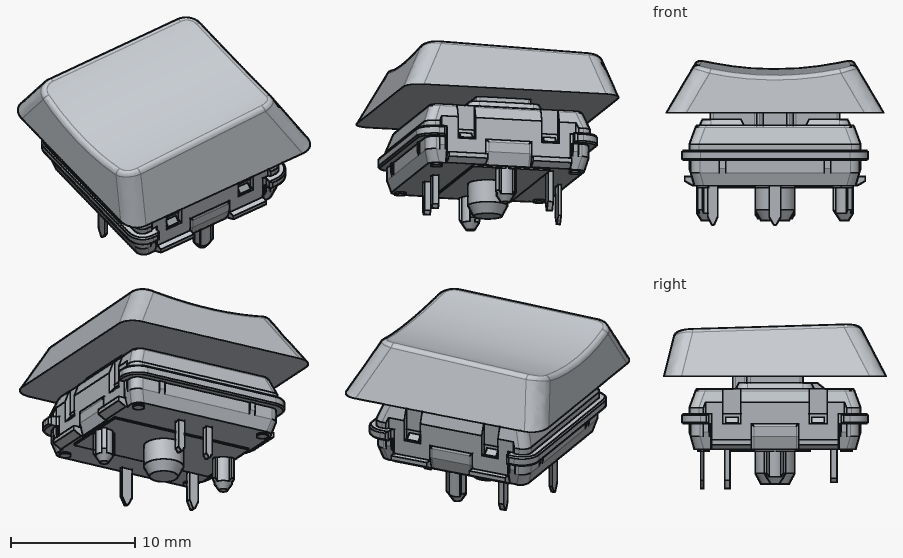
import cadquery as cq
import math


floor_z = 0.14
lip_top_z = 0.9
wall_low_z = 1.2
flange_low_z = 2.2
seam_z = 3.0
shoulder_z = 3.5
deck_edge_z = 4.86
deck_z = 5.0
rim_z = 5.5
cap_low_z = 6.01

floor_half = 6.5
wall_half = 6.8
rib_half = 6.9
wall_slope = (wall_half - floor_half) / (wall_low_z - floor_z)
rib_low_z = floor_z + (rib_half - floor_half) / wall_slope
shoulder_half = rib_half
deck_edge_half = 6.4
deck_half = 6.3
housing_radius = 0.75
flange_half = 7.5
flange_radius = 1.5
flange_chamfer = 0.13

skirt_face_x = 6.74
skirt_back_x = 6.25
skirt_half = 5.1
skirt_upper_half = 5.58
skirt_upper_flare = 0.18
recess_flare = 0.22
beyond = flange_half + 1.0
slot_inner_y = 2.75
slot_outer_y = 4.2
slot_y = (slot_inner_y + slot_outer_y) / 2
slot_width = slot_outer_y - slot_inner_y
catch_width = 1.0
catch_top_z = 2.73
catch_low_z = 2.3
catch_reach = 0.4
block_back_x = 6.0
block_half = 1.9
block_bevel = 0.2
lip_reach_x = 7.28
lip_edge_z = 0.53
lip_root_x = 6.6
front_rib_inner = 3.97
front_rib_outer = 4.48
side_rib_inner = 5.3
side_rib_outer = 5.77

pad_half_x = 6.28
pad_back_y = 2.85
pad_front_y = -3.55
foot_diameter = 0.92
foot_x = 5.8
foot_y = 5.76
boss_diameter = 3.2
boss_shoulder_z = -1.8
boss_end_radius = 1.14
boss_end_z = -2.65
post_diameter = 1.8
post_core_diameter = 1.42
post_rib_width = 0.42
post_rib_count = 3
post_x = 5.58
post_shoulder_z = -1.79
post_end_radius = 0.34

rim_base_x = 6.08
rim_base_y = 3.15
rim_lean = 0.24
rim_corner = 0.9
rim_gap_half = 2.5
rear_ramp_base_y = 4.03
rear_ramp_top_y = 3.4

stem_half_x = 5.22
stem_half_y = 2.26
stem_corner = 0.25
arm_inner_x = 0.93
arm_outer_x = 1.45
arm_front_y = -3.4
arm_corner = 0.2

cap_length_x = 17.53
cap_length_y = 17.9
cap_blank_height = 5.5
side_draft = 0.591
back_draft = 0.52
front_draft = 0.25
cap_corner = 1.55
cap_top_fillet = 0.5
dish_radius = 25.5
dish_centre_z = 9.32
dish_tilt = 1.95

socket_depth = 0.6
tip_fraction = 0.3
pin_end_z = -3.02
pin_shoulder_z = -2.35
side_pin_x = -5.0
side_pin_y = -3.83
side_pin_width = 0.8
side_pin_thickness = 0.44
front_pin_y = -5.87
front_pin_width = 0.94
front_pin_thickness = 0.25
prong_x = 1.3
prong_y = 4.73
prong_width = 0.54
prong_thickness = 0.52
prong_end_z = -2.52
prong_shoulder_z = -2.2


def block(x0, x1, y0, y1, z0, z1):
    """Axis-aligned box between two corners."""
    return cq.Workplane("XY").box(x1 - x0, y1 - y0, z1 - z0, centered=False).translate((x0, y0, z0))


def plan_prism(points, z0, z1):
    """Outline in X and Y, extruded upwards."""
    return cq.Workplane("XY").workplane(offset=z0).polyline(points).close().extrude(z1 - z0)


def side_prism(points, y0, y1):
    """Outline in X and Z, extruded along Y."""
    return cq.Workplane("XZ", origin=(0, y0, 0)).polyline(points).close().extrude(y0 - y1)


def rounded_frustum(half_low, half_high, z0, z1, radius):
    """Square block with rounded corners whose half width changes with height."""
    low = cq.Sketch().rect(2 * half_low, 2 * half_low).vertices().fillet(radius)
    high = cq.Sketch().rect(2 * half_high, 2 * half_high).vertices().fillet(radius)
    high = high.moved(cq.Location(cq.Vector(0, 0, z1 - z0)))
    return cq.Workplane("XY").workplane(offset=z0).placeSketch(low, high).loft()


def both_sides(shape):
    """The shape at -X together with its mirror image at +X."""
    return shape.union(shape.mirror("YZ"))


def make_keycap():
    half_x = cap_length_x / 2
    half_y = cap_length_y / 2
    top_half_x = half_x - side_draft * cap_blank_height
    top_back = half_y - back_draft * cap_blank_height
    top_front = -half_y + front_draft * cap_blank_height
    blank = (
        cq.Workplane("XY")
        .workplane(offset=cap_low_z)
        .rect(cap_length_x, cap_length_y)
        .workplane(offset=cap_blank_height)
        .center(0, (top_back + top_front) / 2)
        .rect(2 * top_half_x, top_back - top_front)
        .loft(ruled=True)
        .edges("not(#Z)")
        .fillet(cap_corner)
    )
    dish = (
        cq.Workplane("XZ")
        .circle(dish_radius)
        .extrude(cap_length_y, both=True)
        .translate((0, 0, dish_radius))
        .rotate((0, 0, 0), (1, 0, 0), dish_tilt)
        .translate((0, 0, dish_centre_z))
    )
    dish_floor = cq.selectors.NearestToPointSelector((0, 0, dish_centre_z))
    return blank.cut(dish).faces(dish_floor).edges().fillet(cap_top_fillet)


def make_stem():
    height = cap_low_z - seam_z
    body = (
        block(-stem_half_x, stem_half_x, -stem_half_y, stem_half_y, seam_z, cap_low_z)
        .edges("|Z")
        .fillet(stem_corner)
    )
    for side in (-1, 1):
        arm = (
            cq.Workplane("XY")
            .workplane(offset=seam_z)
            .center(side * (arm_inner_x + arm_outer_x) / 2, (arm_front_y - stem_half_y + arm_corner) / 2)
            .rect(arm_outer_x - arm_inner_x, -stem_half_y + arm_corner - arm_front_y)
            .extrude(height)
            .edges("|Z and <Y")
            .fillet(arm_corner)
        )
        web = (
            cq.Workplane("XY")
            .workplane(offset=seam_z)
            .moveTo(side * arm_outer_x, -stem_half_y)
            .lineTo(side * (arm_outer_x + arm_corner), -stem_half_y)
            .radiusArc((side * arm_outer_x, -stem_half_y - arm_corner), -side * arm_corner)
            .close()
            .extrude(height)
        )
        body = body.union(arm).union(web)
    return body


def make_pin(x, y, width, thickness, shoulder_z, end_z):
    """Flat pin with a tapered, rounded end; its upper end sits in the bottom housing."""
    half = width / 2
    tip_half = half * tip_fraction
    top_z = floor_z + socket_depth
    return (
        cq.Workplane("XZ", origin=(x, y + thickness / 2, 0))
        .moveTo(-half, top_z)
        .lineTo(-half, shoulder_z)
        .lineTo(-tip_half, end_z + tip_half / 2)
        .threePointArc((0, end_z), (tip_half, end_z + tip_half / 2))
        .lineTo(half, shoulder_z)
        .lineTo(half, top_z)
        .close()
        .extrude(thickness)
    )


def make_rim():
    lean_angle = math.degrees(math.atan2(rim_lean, rim_z - deck_z))
    rim = (
        cq.Workplane("XY")
        .workplane(offset=deck_z)
        .placeSketch(cq.Sketch().rect(2 * rim_base_x, 2 * rim_base_y).vertices().fillet(rim_corner))
        .extrude(rim_z - deck_z, taper=lean_angle)
    )
    front_gap = (
        cq.Workplane("XZ", origin=(0, -stem_half_y, 0))
        .polyline([
            (-rim_gap_half, deck_z),
            (rim_gap_half, deck_z),
            (rim_gap_half + rim_lean, rim_z),
            (-rim_gap_half - rim_lean, rim_z),
        ])
        .close()
        .extrude(rim_base_y)
    )
    rear_ramp = (
        cq.Workplane("YZ", origin=(-rim_gap_half, 0, 0))
        .polyline([(0, deck_z), (rear_ramp_base_y, deck_z), (rear_ramp_top_y, rim_z), (0, rim_z)])
        .close()
        .extrude(2 * rim_gap_half)
    )
    return rim.cut(front_gap).union(rear_ramp)


def make_skirt():
    """Plate at -X that reaches from the top housing down into the bottom housing."""
    plate = block(-skirt_face_x, -skirt_back_x, -skirt_half, skirt_half, lip_top_z, seam_z)
    notch = block(-beyond, 0, -block_half, block_half, 0, flange_low_z)
    return plate.cut(notch)


def make_top_housing(stem):
    body = rounded_frustum(shoulder_half, shoulder_half, seam_z, shoulder_z, housing_radius)
    body = body.union(
        rounded_frustum(shoulder_half, deck_edge_half, shoulder_z, deck_edge_z, housing_radius)
    )
    body = body.union(rounded_frustum(deck_edge_half, deck_half, deck_edge_z, deck_z, housing_radius))

    flare_half = skirt_upper_half + skirt_upper_flare
    side_flat = plan_prism(
        [
            (-skirt_face_x, -skirt_upper_half),
            (-shoulder_half, -flare_half),
            (-beyond, -flare_half),
            (-beyond, flare_half),
            (-shoulder_half, flare_half),
            (-skirt_face_x, skirt_upper_half),
        ],
        seam_z,
        deck_z,
    )
    body = body.cut(both_sides(side_flat)).union(both_sides(make_skirt())).union(make_rim())
    for side in (-1, 1):
        y = side * slot_y
        slot = block(
            -beyond, -skirt_back_x, y - slot_width / 2, y + slot_width / 2, flange_low_z, rim_z
        )
        body = body.cut(both_sides(slot))
    return body.cut(stem)


def make_ribs():
    """Proud strips on the four walls, just below the flange."""
    envelope = rounded_frustum(floor_half, rib_half, floor_z, rib_low_z, housing_radius).union(
        rounded_frustum(rib_half, rib_half, rib_low_z, flange_low_z, housing_radius)
    )
    strips = cq.Workplane("XY")
    for side in (-1, 1):
        x0, x1 = sorted((side * front_rib_inner, side * front_rib_outer))
        y0, y1 = sorted((side * side_rib_inner, side * side_rib_outer))
        strips = strips.union(block(x0, x1, -beyond, beyond, floor_z, flange_low_z))
        strips = strips.union(block(-beyond, beyond, y0, y1, floor_z, flange_low_z))
    return envelope.intersect(strips)


def tapered_plan(points, outer_points):
    """Prism over the height of the housing taper; the outer points follow the sloping wall."""
    shift = wall_half - floor_half
    low = [cq.Vector(x + shift if (x, y) in outer_points else x, y, floor_z) for x, y in points]
    high = [cq.Vector(x, y, wall_low_z) for x, y in points]
    wires = [cq.Wire.makePolygon(outline, close=True) for outline in (low, high)]
    return cq.Workplane(obj=cq.Solid.makeLoft(wires, ruled=True))


def make_skirt_recess():
    """Space at -X for the skirt, opening outwards between bevelled corners."""
    outer_half = skirt_half + recess_flare
    bevel_x = flange_half - flange_chamfer
    bevel = [(-skirt_face_x, skirt_half), (-rib_half, outer_half)]
    half_outline = [
        (-skirt_back_x, skirt_half),
        *bevel,
        (-bevel_x, outer_half),
        (-flange_half, outer_half + recess_flare),
        (-beyond, outer_half + recess_flare),
    ]
    mirrored = [(x, -y) for x, y in reversed(half_outline)]
    mirrored_bevel = [(x, -y) for x, y in bevel]
    lower = tapered_plan(half_outline + mirrored, bevel + mirrored_bevel)
    return lower.union(plan_prism(half_outline + mirrored, wall_low_z, seam_z))


def make_centre_block():
    """Bevelled block at -X that fills the notch in the skirt."""
    face_half = block_half - block_bevel
    outer_points = [
        (-skirt_face_x, -block_half),
        (-wall_half, -face_half),
        (-wall_half, face_half),
        (-skirt_face_x, block_half),
    ]
    outline = [(-block_back_x, -block_half), *outer_points, (-block_back_x, block_half)]
    upper = plan_prism(outline, wall_low_z, flange_low_z)
    top_bevel = side_prism(
        [
            (-beyond, flange_low_z - block_bevel),
            (-wall_half, flange_low_z - block_bevel),
            (-skirt_face_x, flange_low_z),
            (-beyond, flange_low_z),
        ],
        -block_half,
        block_half,
    )
    return tapered_plan(outline, outer_points).union(upper.cut(top_bevel))


def make_lip(y0, y1):
    return side_prism(
        [
            (-skirt_back_x, floor_z),
            (-lip_root_x, floor_z),
            (-lip_reach_x, lip_edge_z),
            (-lip_reach_x, lip_top_z),
            (-skirt_back_x, lip_top_z),
        ],
        y0,
        y1,
    )


def make_catch(y):
    """Wedge that snaps into a slot of the skirt."""
    return side_prism(
        [
            (-skirt_back_x, flange_low_z),
            (-skirt_back_x - catch_reach, flange_low_z),
            (-skirt_back_x - catch_reach, catch_low_z),
            (-skirt_back_x, catch_top_z),
        ],
        y - catch_width / 2,
        y + catch_width / 2,
    )


def make_peg(radius, shoulder_z, end_radius, end_z):
    """Round peg below the housing with a conical end."""
    return (
        cq.Workplane("XZ")
        .polyline([(0, floor_z), (radius, floor_z), (radius, shoulder_z), (end_radius, end_z), (0, end_z)])
        .close()
        .revolve(360, (0, 0, 0), (0, 1, 0))
    )


def make_side_post():
    """Locating post at +X: a round core with crush ribs, one of them pointing inwards."""
    section = cq.Workplane("XY").workplane(offset=boss_end_z)
    height = floor_z - boss_end_z
    ribbed = section.circle(post_core_diameter / 2).extrude(height)
    rib = section.rect(post_diameter, post_rib_width).extrude(height)
    rib = rib.intersect(block(-post_diameter, 0, -post_diameter, post_diameter, boss_end_z, floor_z))
    for index in range(post_rib_count):
        angle = index * 360 / post_rib_count
        ribbed = ribbed.union(rib.rotate((0, 0, 0), (0, 0, 1), angle))
    envelope = make_peg(post_diameter / 2, post_shoulder_z, post_end_radius, boss_end_z)
    return ribbed.intersect(envelope).translate((post_x, 0, 0))


def make_bottom_housing(pins):
    body = rounded_frustum(floor_half, wall_half, floor_z, wall_low_z, housing_radius)
    body = body.union(rounded_frustum(wall_half, wall_half, wall_low_z, flange_low_z, housing_radius))
    body = body.union(make_ribs())
    flange = rounded_frustum(flange_half, flange_half, flange_low_z, seam_z, flange_radius)
    body = body.union(flange.faces("<Z or >Z").chamfer(flange_chamfer))

    body = body.cut(both_sides(make_skirt_recess()))
    body = body.union(both_sides(make_centre_block()))
    for y0, y1 in ((-skirt_half, -block_half), (block_half, skirt_half)):
        body = body.union(both_sides(make_lip(y0, y1)))
    for side in (-1, 1):
        body = body.union(both_sides(make_catch(side * slot_y)))

    body = body.union(block(-pad_half_x, pad_half_x, pad_front_y, pad_back_y, 0, floor_z))
    feet = (
        cq.Workplane("XY")
        .rect(2 * foot_x, 2 * foot_y, forConstruction=True)
        .vertices()
        .circle(foot_diameter / 2)
        .extrude(floor_z)
    )
    body = body.union(feet)
    body = body.union(make_peg(boss_diameter / 2, boss_shoulder_z, boss_end_radius, boss_end_z))
    body = body.union(both_sides(make_side_post()))
    for pin in pins:
        body = body.cut(pin)
    return body


keycap = make_keycap()
stem = make_stem()
top_housing = make_top_housing(stem)
side_pin = make_pin(
    side_pin_x, side_pin_y, side_pin_width, side_pin_thickness, pin_shoulder_z, pin_end_z
)
front_pin = make_pin(0, front_pin_y, front_pin_width, front_pin_thickness, pin_shoulder_z, pin_end_z)
prongs = [
    make_pin(x, prong_y, prong_width, prong_thickness, prong_shoulder_z, prong_end_z)
    for x in (-prong_x, prong_x)
]
bottom_housing = make_bottom_housing([side_pin, front_pin, *prongs])

result = cq.Compound.makeCompound(
    [
        keycap.val(),
        stem.val(),
        top_housing.val(),
        bottom_housing.val(),
        side_pin.val(),
        front_pin.val(),
        *[prong.val() for prong in prongs],
    ]
)